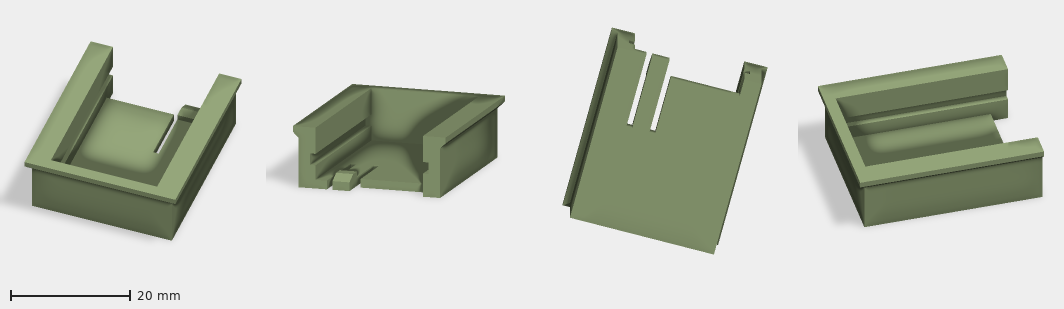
import cadquery as cq

width = 27.0
length = 32
height = 10.5

rim_overhang = 1.0
rim_thickness = 1.0

side_wall = 4.0
end_wall = 2.0
floor_thickness = 1.5
floor_setback = 3.0

groove_depth = 1.0
groove_bottom = 4.0
groove_height = 2.0

tongue_width = 3.0
tongue_length = 13.0
slot_width = 1.0
tongue_to_wall = 3.0
catch_height = 1.0
catch_flat = 2.0
catch_ramp = 2.0

inner_width = width - 2 * side_wall
inner_right = inner_width / 2
tongue_right = inner_right - tongue_to_wall
tongue_left = tongue_right - tongue_width
pocket_length = length - end_wall


def box(x, y, z, size_x, size_y, size_z):
    """Box given by its lowest corner and its size."""
    return cq.Workplane("XY").box(size_x, size_y, size_z, centered=False).translate((x, y, z))


def make_outer_block():
    """Block whose rim widens through a 45 degree slope on three sides."""
    body_width = width - 2 * rim_overhang
    rim_bottom = height - rim_thickness
    body = box(-body_width / 2, rim_overhang, 0, body_width, length - rim_overhang, rim_bottom)
    rim = box(-width / 2, 0, rim_bottom, width, length, rim_thickness)

    slope = (
        cq.Workplane("XY", origin=(0, 0, rim_bottom))
        .center(0, (length + rim_overhang) / 2)
        .rect(width, length + rim_overhang)
        .extrude(-rim_overhang, taper=45)
    )
    slope = slope.intersect(box(-width / 2, 0, 0, width, length, height))
    return body.union(slope).union(rim)


def make_pocket():
    """Space above the floor, including the groove in each side wall."""
    cavity = box(
        -inner_right, end_wall, floor_thickness, inner_width, pocket_length, height - floor_thickness
    )
    grooves = box(
        -inner_right - groove_depth, end_wall, groove_bottom,
        inner_width + 2 * groove_depth, pocket_length, groove_height,
    )
    return cavity.union(grooves)


def make_floor_openings():
    """Slots on both sides of the tongue and the setback to its left."""
    slot_start = length - tongue_length
    left_slot = tongue_left - slot_width
    openings = box(
        -inner_right, length - floor_setback, 0,
        left_slot + inner_right, floor_setback, floor_thickness,
    )
    for slot_x in (left_slot, tongue_right):
        openings = openings.union(
            box(slot_x, slot_start, 0, slot_width, tongue_length, floor_thickness)
        )
    return openings


def make_catch():
    """Raised catch that ramps down to the tip of the tongue."""
    catch_start = length - catch_ramp - catch_flat
    catch_top = floor_thickness + catch_height
    return (
        cq.Workplane("YZ", origin=(tongue_left, 0, 0))
        .moveTo(catch_start, 0)
        .lineTo(catch_start, catch_top)
        .lineTo(catch_start + catch_flat, catch_top)
        .lineTo(length, floor_thickness)
        .lineTo(length, 0)
        .close()
        .extrude(tongue_width)
    )


result = make_outer_block().cut(make_pocket()).cut(make_floor_openings()).union(make_catch())